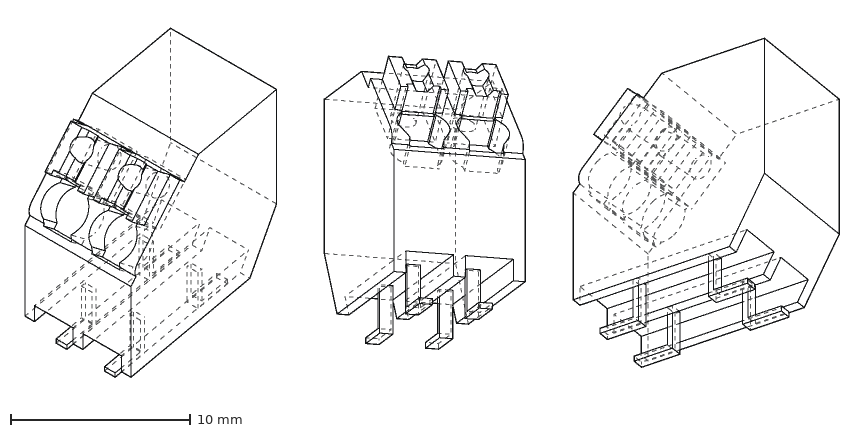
import cadquery as cq
import math


WIDTH = 7.7
DEPTH = 12.7
HEIGHT = 14.71
POLE_PITCH = 3.5
POLE_COUNT = 2
POLE_POSITIONS = [(i - (POLE_COUNT - 1) / 2) * POLE_PITCH for i in range(POLE_COUNT)]
SLOT_WIDTH = 2.8

HOUSING_BOTTOM = 1.55
HOUSING_TOP = 14.43
BACK_CHAMFER_HEIGHT = 4.03
BACK_CHAMFER_ANGLE = 60.0
FOOT_RECESS_HEIGHT = 1.24
NOTCH_DEPTH = 0.59
RAMP_TOP_Y = 4.25
RAMP_END_Z = 9.99
LIP_CORNER_Z = 9.0
LIP_FRONT_Z = 8.56

LEVER_LENGTH = 3.19
LEVER_RISE = 1.53
SEAT_DEPTH = 1.9
GROOVE_TOP_WIDTH = 1.2
GROOVE_FLOOR_WIDTH = 0.63
GROOVE_DEPTH = 0.43
LEVER_HOLE_DIAMETER = 1.47
LEVER_HOLE_FROM_BACK = 1.06
FRONT_RECESS_WIDTH = 1.94
FRONT_RECESS_LENGTH = 0.32
FRONT_RECESS_BELOW_RAMP = 0.26

FUNNEL_DIAMETER = 3.02
FUNNEL_FROM_RAMP_TOP = 4.59
FUNNEL_BOX_WIDTH = 2.0
FUNNEL_SHIFT = -0.05

PIN_WIDTH = 0.78
PIN_THICKNESS = 0.34
FRONT_PIN_HEEL_Y = 3.22
FRONT_PIN_FOOT_LENGTH = 2.55
BACK_PIN_HEEL_Y = 7.88
BACK_PIN_FOOT_LENGTH = 2.57

COS_45 = math.sqrt(0.5)
RAMP_TOP_Z = HEIGHT - LEVER_RISE * COS_45
NOTCH_SHIFT = NOTCH_DEPTH * COS_45
NOTCH_Y = RAMP_TOP_Y + NOTCH_SHIFT
NOTCH_Z = RAMP_TOP_Z - NOTCH_SHIFT
RECESS_ROOF_Z = HOUSING_BOTTOM + FOOT_RECESS_HEIGHT

RAMP = cq.Plane(origin=(0, RAMP_TOP_Y, RAMP_TOP_Z), xDir=(1, 0, 0), normal=(0, -1, 1))


def ramp_block(x, width, start, end, bottom, top):
    """Block on the ramp; start and end are distances downhill, bottom and top are heights above it."""
    return (
        cq.Workplane(RAMP)
        .workplane(offset=bottom)
        .center(x, -(start + end) / 2)
        .rect(width, end - start)
        .extrude(top - bottom)
    )


def ramp_cylinder(x, distance, diameter, bottom, top):
    """Cylinder square to the ramp, with its axis at a distance downhill."""
    return (
        cq.Workplane(RAMP)
        .workplane(offset=bottom)
        .center(x, -distance)
        .circle(diameter / 2)
        .extrude(top - bottom)
    )


def extrude_across(outline, x, width):
    """Extrude a closed Y-Z outline by a width centred on x."""
    return outline.extrude(width / 2, both=True).translate((x, 0, 0))


def make_housing_blank():
    chamfer_run = BACK_CHAMFER_HEIGHT / math.tan(math.radians(BACK_CHAMFER_ANGLE))
    ramp_end_y = RAMP_TOP_Y - (RAMP_TOP_Z - RAMP_END_Z)
    lip_corner_y = LIP_CORNER_Z - LIP_FRONT_Z
    outline = (
        cq.Workplane("YZ")
        .moveTo(0, HOUSING_BOTTOM)
        .lineTo(DEPTH - chamfer_run, HOUSING_BOTTOM)
        .lineTo(DEPTH, HOUSING_BOTTOM + BACK_CHAMFER_HEIGHT)
        .lineTo(DEPTH, HOUSING_TOP)
        .lineTo(NOTCH_Y + HOUSING_TOP - NOTCH_Z, HOUSING_TOP)
        .lineTo(NOTCH_Y, NOTCH_Z)
        .lineTo(RAMP_TOP_Y, RAMP_TOP_Z)
        .lineTo(ramp_end_y, RAMP_END_Z)
        .tangentArcPoint((lip_corner_y, LIP_CORNER_Z), relative=False)
        .lineTo(0, LIP_FRONT_Z)
        .close()
    )
    return extrude_across(outline, 0, WIDTH)


def make_foot_recess(x):
    return cq.Workplane("XY").box(
        SLOT_WIDTH, DEPTH, FOOT_RECESS_HEIGHT, centered=(True, False, False)
    ).translate((x, 0, HOUSING_BOTTOM))


def make_lever_slot(x):
    return ramp_block(x, SLOT_WIDTH, 0, LEVER_LENGTH, -SEAT_DEPTH, 0)


def make_wire_funnel(x):
    """Round funnel, squared off between the lever and the lip."""
    funnel_end = FUNNEL_FROM_RAMP_TOP + FUNNEL_DIAMETER / 2
    round_part = ramp_cylinder(x, FUNNEL_FROM_RAMP_TOP, FUNNEL_DIAMETER, -SEAT_DEPTH, 0)
    square_part = ramp_block(x, FUNNEL_BOX_WIDTH, LEVER_LENGTH, funnel_end, -SEAT_DEPTH, 0)
    return round_part.union(square_part)


def make_housing():
    housing = make_housing_blank()
    for x in POLE_POSITIONS:
        housing = housing.cut(make_foot_recess(x))
        housing = housing.cut(make_lever_slot(x))
        housing = housing.cut(make_wire_funnel(x + FUNNEL_SHIFT))
    return housing


def make_lever_groove(x):
    """Trapezoidal groove along the top of a lever."""
    groove_floor = LEVER_RISE - GROOVE_DEPTH
    end_plane = cq.Plane(origin=RAMP.toWorldCoords((x, 0, 0)), xDir=(1, 0, 0), normal=(0, -1, -1))
    return (
        cq.Workplane(end_plane)
        .polyline([
            (-GROOVE_TOP_WIDTH / 2, LEVER_RISE),
            (GROOVE_TOP_WIDTH / 2, LEVER_RISE),
            (GROOVE_FLOOR_WIDTH / 2, groove_floor),
            (-GROOVE_FLOOR_WIDTH / 2, groove_floor),
        ])
        .close()
        .extrude(LEVER_LENGTH)
    )


def make_lever(x):
    body = ramp_block(x, SLOT_WIDTH, 0, LEVER_LENGTH, -SEAT_DEPTH, LEVER_RISE)
    hole = ramp_cylinder(x, LEVER_HOLE_FROM_BACK, LEVER_HOLE_DIAMETER, -SEAT_DEPTH, LEVER_RISE)
    front_recess = ramp_block(
        x,
        FRONT_RECESS_WIDTH,
        LEVER_LENGTH - FRONT_RECESS_LENGTH,
        LEVER_LENGTH,
        -FRONT_RECESS_BELOW_RAMP,
        LEVER_RISE,
    )
    return body.cut(make_lever_groove(x)).cut(hole).cut(front_recess)


def make_pin(x, heel_y, foot_length, direction):
    """L-shaped pin from its heel; direction is -1 for a foot toward the front, 1 toward the back."""
    outline = (
        cq.Workplane("YZ")
        .moveTo(heel_y, 0)
        .lineTo(heel_y + direction * foot_length, 0)
        .lineTo(heel_y + direction * foot_length, PIN_THICKNESS)
        .lineTo(heel_y + direction * PIN_THICKNESS, PIN_THICKNESS)
        .lineTo(heel_y + direction * PIN_THICKNESS, RECESS_ROOF_Z)
        .lineTo(heel_y, RECESS_ROOF_Z)
        .close()
    )
    return extrude_across(outline, x, PIN_WIDTH)


housing = make_housing()
levers = [make_lever(x) for x in POLE_POSITIONS]
front_pins = [make_pin(x, FRONT_PIN_HEEL_Y, FRONT_PIN_FOOT_LENGTH, -1) for x in POLE_POSITIONS]
back_pins = [make_pin(x, BACK_PIN_HEEL_Y, BACK_PIN_FOOT_LENGTH, 1) for x in POLE_POSITIONS]

bodies = [housing, *levers, *front_pins, *back_pins]
result = cq.Compound.makeCompound([body.val() for body in bodies])